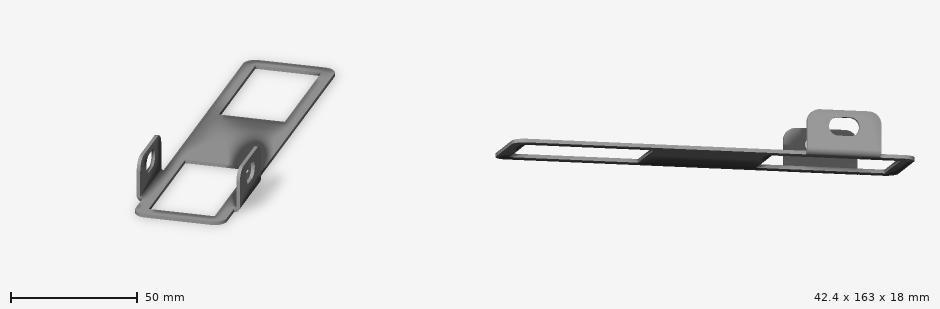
import cadquery as cq

length = 163.0
width = 42.4
height = 18.0
sheet = 1.5

inner_bend = 1.0
outer_bend = inner_bend + sheet

plate_width = width - 2 * outer_bend
plate_corner = 5.0
side_border = 5.2
end_border = 5.5
window_width = plate_width - 2 * side_border
window_length = 52.0
window_offset = length / 2 - end_border - window_length / 2

tab_length = 30.0
tab_end_gap = 15.0
tab_center_y = -length / 2 + tab_end_gap + tab_length / 2
tab_corner = 5.0
slot_length = 12.4
slot_height = 7.5
slot_drop = 6.5


def make_plate():
    """Rounded plate resting on Z = 0, with a window near each end."""
    plate = cq.Workplane("XY").rect(plate_width, length).extrude(sheet)
    plate = plate.edges("|Z").fillet(plate_corner)
    windows = (
        cq.Workplane("XY")
        .pushPoints([(0, -window_offset), (0, window_offset)])
        .rect(window_width, window_length)
        .extrude(sheet)
    )
    return plate.cut(windows)


def make_tab():
    """Bend and upright tab on the +X side."""
    bend_start = plate_width / 2
    outer_face = width / 2
    tab = (
        cq.Workplane("XZ", origin=(0, tab_center_y, 0))
        .moveTo(bend_start - side_border / 2, 0)
        .lineTo(bend_start, 0)
        .radiusArc((outer_face, outer_bend), -outer_bend)
        .lineTo(outer_face, height)
        .lineTo(outer_face - sheet, height)
        .lineTo(outer_face - sheet, outer_bend)
        .radiusArc((bend_start, sheet), inner_bend)
        .lineTo(bend_start - side_border / 2, sheet)
        .close()
        .extrude(tab_length / 2, both=True)
    )
    tab = tab.edges("|X").edges(">Z").edges("<Y or >Y").fillet(tab_corner)
    slot = (
        cq.Workplane("YZ", origin=(outer_face - sheet, tab_center_y, height - slot_drop))
        .slot2D(slot_length, slot_height)
        .extrude(sheet)
    )
    return tab.cut(slot)


right_tab = make_tab()
left_tab = right_tab.mirror("YZ")
result = make_plate().union(right_tab).union(left_tab)